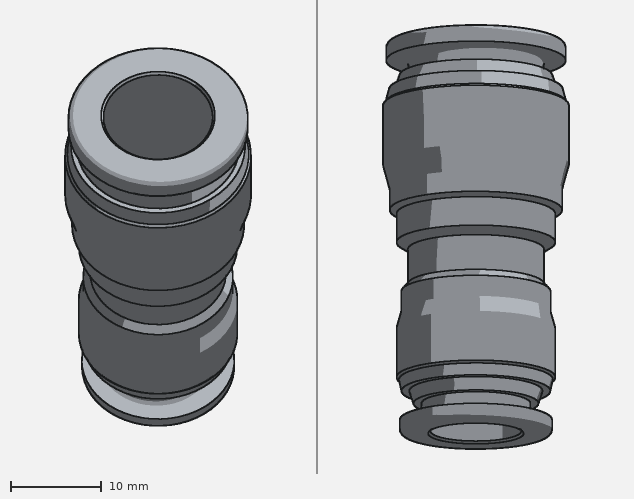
import cadquery as cq

LENGTH = 44.0

LARGE_FLANGE_DIA = 19.8
LARGE_FLANGE_THICKNESS = 1.95
LARGE_NECK_DIA = 14.9

SMALL_FLANGE_DIA = 16.8
SMALL_FLANGE_THICKNESS = 1.55
SMALL_NECK_DIA = 12.0

RIM_FILLET = 0.55
NECK_FILLET = 0.55

LARGE_BODY_DIA = 20.5
LARGE_SHOULDER_DIA = 19.0
SMALL_BODY_DIA = 17.5
SMALL_SHOULDER_DIA = 16.5
WAIST_DIA = 15.0
BODY_BOTTOM = 3.4
BODY_TOP = 40.35

BODY_CORNERS = [
    (13.75, BODY_BOTTOM),
    (14.7, 4.8),
    (16.4, 4.8),
    (17.0, 6.05),
    (SMALL_BODY_DIA, 6.35),
    (SMALL_BODY_DIA, 11.9),
    (SMALL_SHOULDER_DIA, 13.7),
    (SMALL_SHOULDER_DIA, 16.0),
    (WAIST_DIA, 16.85),
    (WAIST_DIA, 20.75),
    (SMALL_BODY_DIA, 21.55),
    (SMALL_BODY_DIA, 24.75),
    (LARGE_SHOULDER_DIA, 25.2),
    (LARGE_SHOULDER_DIA, 27.55),
    (LARGE_BODY_DIA, 30.3),
    (LARGE_BODY_DIA, 37.0),
    (19.98, 37.25),
    (19.2, 38.8),
    (17.95, 38.8),
    (16.9, BODY_TOP),
]

THROUGH_BORE_DIA = 9.0
LARGE_SOCKET_DIA = 12.0
LARGE_SOCKET_DEPTH = 22.45
SMALL_SOCKET_DIA = 10.0
SMALL_SOCKET_DEPTH = 16.0
SOCKET_CHAMFER = 0.25


def make_collar(flange_dia, thickness, neck_dia, neck_length):
    """Flange on Z = 0 with a neck above it, rounded at the outer rim and the neck root."""
    flange = cq.Workplane("XY").circle(flange_dia / 2).extrude(thickness)
    flange = flange.faces("<Z").edges().fillet(RIM_FILLET)
    neck = cq.Workplane("XY").circle(neck_dia / 2).extrude(thickness + neck_length)
    root = cq.selectors.RadiusNthSelector(0)
    collar = flange.union(neck)
    return collar.faces("|Z").faces(">Z[-2]").edges(root).fillet(NECK_FILLET)


def make_body():
    """Revolve the stepped outline about the Z axis."""
    outline = [(diameter / 2, height) for diameter, height in BODY_CORNERS]
    profile = [(0, BODY_BOTTOM)] + outline + [(0, BODY_TOP)]
    return cq.Workplane("XZ").polyline(profile).close().revolve(360, (0, 0), (0, 1))


def make_socket(diameter, depth):
    """Cutter for a tube socket entered at Z = 0, with a chamfered mouth."""
    radius = diameter / 2
    profile = [
        (0, 0),
        (radius + SOCKET_CHAMFER, 0),
        (radius, SOCKET_CHAMFER),
        (radius, depth),
        (0, depth),
    ]
    return cq.Workplane("XZ").polyline(profile).close().revolve(360, (0, 0), (0, 1))


def move_to_top(shape):
    """Turn a shape built upwards from Z = 0 so that it hangs from the top end."""
    return shape.rotate((0, 0, 0), (1, 0, 0), 180).translate((0, 0, LENGTH))


small_neck_length = BODY_BOTTOM - SMALL_FLANGE_THICKNESS
large_neck_length = LENGTH - BODY_TOP - LARGE_FLANGE_THICKNESS

small_collar = make_collar(
    SMALL_FLANGE_DIA, SMALL_FLANGE_THICKNESS, SMALL_NECK_DIA, small_neck_length
)
large_collar = move_to_top(
    make_collar(LARGE_FLANGE_DIA, LARGE_FLANGE_THICKNESS, LARGE_NECK_DIA, large_neck_length)
)
through_bore = cq.Workplane("XY").circle(THROUGH_BORE_DIA / 2).extrude(LENGTH)

result = make_body().union(small_collar).union(large_collar)
result = result.cut(through_bore)
result = result.cut(make_socket(SMALL_SOCKET_DIA, SMALL_SOCKET_DEPTH))
result = result.cut(move_to_top(make_socket(LARGE_SOCKET_DIA, LARGE_SOCKET_DEPTH)))